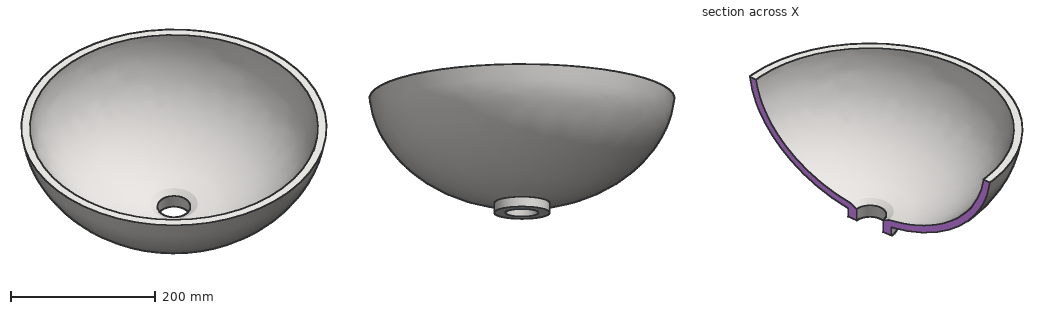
import cadquery as cq
import math

rim_radius = 212.0
height = 163.0
wall = 12.0

bowl_centre_z = 179.8
outer_half_height = 168.8

collar_diameter = 77.0
drain_diameter = 46.0
seat_diameter = 66.0
seat_depth = 5.5

rim_drop = bowl_centre_z - height
outer_half_width = rim_radius / math.sqrt(1 - (rim_drop / outer_half_height) ** 2)

inner_half_width = outer_half_width - wall
inner_half_height = outer_half_height - wall


def revolve_about_z(profile):
    """Turn a closed XZ profile about the Z axis."""
    return profile.revolve(360, (0, 0), (0, 1))


def bowl_solid(half_width, half_height):
    """Part of an ellipsoid below the rim plane."""
    rim_angle = -math.degrees(math.asin(rim_drop / half_height))
    profile = (
        cq.Workplane("XZ")
        .moveTo(0, bowl_centre_z - half_height)
        .ellipseArc(half_width, half_height, -90, rim_angle)
        .lineTo(0, height)
        .close()
    )
    return revolve_about_z(profile)


def drain_cutter():
    """Through hole with a conical seat that starts at the cavity surface."""
    hole_radius = drain_diameter / 2
    seat_radius = seat_diameter / 2
    seat_top = bowl_centre_z - inner_half_height * math.sqrt(1 - (seat_radius / inner_half_width) ** 2)
    profile = (
        cq.Workplane("XZ")
        .lineTo(hole_radius, 0)
        .lineTo(hole_radius, seat_top - seat_depth)
        .lineTo(seat_radius, seat_top)
        .lineTo(0, seat_top)
        .close()
    )
    return revolve_about_z(profile)


collar_top = bowl_centre_z - inner_half_height
collar = cq.Workplane("XY").circle(collar_diameter / 2).extrude(collar_top)

bowl = bowl_solid(outer_half_width, outer_half_height)
cavity = bowl_solid(inner_half_width, inner_half_height)

result = bowl.union(collar).cut(cavity).cut(drain_cutter())